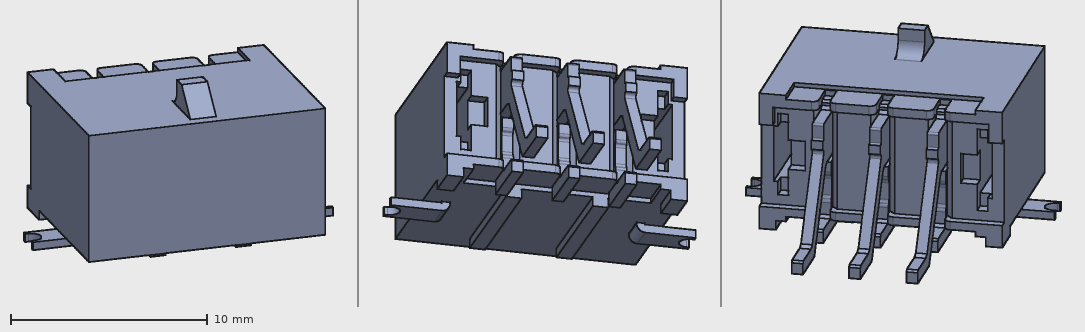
import cadquery as cq
import math


housing_length = 9.89
housing_width = 12.69
housing_top = 7.35
standoff = 0.5

wall_setback = 0.5
ledge_top = 1.2
lip_bottom = 6.65
bracket_bottom = 5.67
bracket_inner_y = 5.64

recess_length = 1.9
recess_half_width = 4.95
top_recess_floor = 7.13
bottom_recess_roof = 0.75

foot_width = 0.87
rail_inner_y = 1.88
rail_end_x = 8.87

pin_pitch = 3.0
pin_y_positions = [-pin_pitch, 0, pin_pitch]
pin_width = 0.6
slot_end = 1.77
slot_mouth = 0.32
pin_foot_height = 0.71
pin_tip_chamfer = 0.11

upper_tip_x = -6.02
upper_heel_x = -3.35
upper_arm_angle = 57.0
upper_knee_start = (-4.17, pin_foot_height)
upper_knee_end = (-3.86, 0.84)
upper_bottom = 4.09
upper_elbow_radius = 0.55
upper_back_x = -1.2
upper_top = 6.42
upper_corner_radius = 0.11
nub_depth = 0.21
nub_fillet = 0.08
nub_top = 5.57
nub_bottom = 5.07
neck_middle = (-1.24, 4.97)
neck_end = (-1.22, 4.8)
barb_start_x = 0.8
barb_bevel = 0.18
barb_step = 0.15
barb_top_bevel = 0.13
barb_end_x = 1.66

lower_tip_x = -1.37
lower_back_x = 0.48
lower_top = 3.74
lower_bend_bevel = 0.16
lower_notch_depth = 0.13
lower_notch_bottom = 1.63
lower_notch_top = 3.1
lower_notch_slope = 0.2
lower_notch_blend = 0.32

clip_thickness = 0.43
clip_leg_y = 4.93
clip_start_x = 4.52
clip_width = 1.51
clip_top = 5.45
clip_bend_radius = 0.43
tab_end_y = 8.05
tab_notch_radius = 0.52
tab_notch_inset = 0.153

clip_slot_bottom = 1.74
clip_slot_top = 6.15
clip_slot_outer_y = 5.47
clip_middle_bottom = 2.45
clip_middle_outer_y = 5.7
clip_pocket_bottom = 3.15
clip_pocket_top = 4.75
clip_pocket_inner_y = 4.05
clip_slot_end = 1.18

latch_width = 1.38
latch_top = 8.76
latch_back_x = 7.1
latch_fillet = 0.77
latch_crest_end_x = 7.85

housing_half_width = housing_width / 2
clip_leg_outer_y = clip_leg_y + clip_thickness
clip_end_x = clip_start_x + clip_width


def block(x_range, y_range, z_range):
    """Box between the given limits on each axis."""
    sizes = [high - low for low, high in (x_range, y_range, z_range)]
    corner = (x_range[0], y_range[0], z_range[0])
    return cq.Workplane("XY").box(*sizes, centered=False).translate(corner)


def mirrored_pair(shape):
    """The shape and its mirror image across the middle plane, as one workplane."""
    return shape.union(shape.mirror("XZ"))


def extrude_across(profile, width):
    """Closed XZ profile extruded along Y, centred on the middle plane."""
    return profile.extrude(width / 2, both=True)


def housing_shell():
    """Main block with its set-back rear wall and the two recesses."""
    body = block(
        (0, housing_length),
        (-housing_half_width, housing_half_width),
        (standoff, housing_top),
    )
    wall_gap = block(
        (0, wall_setback),
        (-housing_half_width, housing_half_width),
        (ledge_top, bracket_bottom),
    )
    lip_gap = block(
        (0, wall_setback),
        (-bracket_inner_y, bracket_inner_y),
        (bracket_bottom, lip_bottom),
    )
    recess_y = (-recess_half_width, recess_half_width)
    top_recess = block((0, recess_length), recess_y, (top_recess_floor, housing_top))
    bottom_recess = block((0, recess_length), recess_y, (standoff, bottom_recess_roof))
    return body.cut(wall_gap).cut(lip_gap).cut(top_recess).cut(bottom_recess)


def feet():
    """Corner feet and standoff rails that carry the housing on the board."""
    foot = block(
        (0, recess_length),
        (housing_half_width - foot_width, housing_half_width),
        (0, standoff),
    )
    rail = block(
        (recess_length, rail_end_x),
        (rail_inner_y, pin_pitch - pin_width / 2),
        (0, standoff),
    )
    return mirrored_pair(foot.union(rail))


def pin_slot(y_middle):
    """Slot for one upper and one lower pin, with rounded and bevelled mouths."""
    half = pin_width / 2
    mouth_half = half + slot_mouth
    bevel_end_x = wall_setback + slot_mouth
    sag = slot_mouth * (1 - math.sqrt(0.5))
    rounded = (
        cq.Workplane("XY")
        .moveTo(0, mouth_half)
        .threePointArc((sag, half + sag), (slot_mouth, half))
        .lineTo(slot_end, half)
        .lineTo(slot_end, -half)
        .lineTo(slot_mouth, -half)
        .threePointArc((sag, -half - sag), (0, -mouth_half))
        .close()
        .extrude(housing_top)
    )
    bevelled = (
        cq.Workplane("XY")
        .workplane(offset=ledge_top)
        .polyline([
            (wall_setback, mouth_half),
            (bevel_end_x, half),
            (bevel_end_x, -half),
            (wall_setback, -mouth_half),
        ])
        .close()
        .extrude(lip_bottom - ledge_top)
    )
    return rounded.union(bevelled).translate((0, y_middle, 0))


def clip_openings():
    """Rear openings that lead to the clip legs, on both sides."""
    slot = block(
        (wall_setback, clip_slot_end),
        (clip_leg_y, clip_slot_outer_y),
        (clip_slot_bottom, clip_slot_top),
    )
    middle = block(
        (wall_setback, clip_start_x),
        (clip_leg_y, clip_middle_outer_y),
        (clip_middle_bottom, clip_top),
    )
    pocket = block(
        (wall_setback, clip_slot_end),
        (clip_pocket_inner_y, clip_leg_y),
        (clip_pocket_bottom, clip_pocket_top),
    )
    return mirrored_pair(slot.union(middle).union(pocket))


def clip_leg_sockets():
    """Sockets that hold the upright clip legs, open at the housing floor."""
    socket = block(
        (clip_start_x, clip_end_x),
        (clip_leg_y, clip_leg_outer_y),
        (standoff, clip_top),
    )
    return mirrored_pair(socket)


def latch():
    """Ramp with a concave back and a 45 degree front."""
    height = latch_top - housing_top
    sag = latch_fillet * (1 - math.sqrt(0.5))
    profile = (
        cq.Workplane("XZ")
        .moveTo(latch_back_x - latch_fillet, housing_top)
        .threePointArc(
            (latch_back_x - sag, housing_top + sag),
            (latch_back_x, housing_top + latch_fillet),
        )
        .lineTo(latch_back_x, latch_top)
        .lineTo(latch_crest_end_x, latch_top)
        .lineTo(latch_crest_end_x + height, housing_top)
        .close()
    )
    return extrude_across(profile, latch_width)


def make_housing():
    housing = housing_shell().union(feet()).union(latch())
    for y_middle in pin_y_positions:
        housing = housing.cut(pin_slot(y_middle))
    return housing.cut(clip_openings()).cut(clip_leg_sockets())


def make_upper_pin(y_middle):
    """Pin with a sloping arm down to its board foot and a barb at the slot end."""
    elbow_x = upper_heel_x + upper_bottom / math.tan(math.radians(upper_arm_angle))
    nub_x = upper_back_x - nub_depth
    barb_x = barb_start_x + barb_bevel
    barb_edge = upper_top + barb_bevel + barb_step
    barb_top = barb_edge + barb_top_bevel
    profile = (
        cq.Workplane("XZ")
        .moveTo(upper_tip_x, 0)
        .lineTo(upper_heel_x, 0)
        .lineTo(elbow_x, upper_bottom)
        .lineTo(slot_end, upper_bottom)
        .lineTo(slot_end, upper_top)
        .lineTo(barb_end_x, upper_top)
        .lineTo(barb_end_x, barb_top)
        .lineTo(barb_x + barb_top_bevel, barb_top)
        .lineTo(barb_x, barb_edge)
        .lineTo(barb_x, upper_top + barb_bevel)
        .lineTo(barb_start_x, upper_top)
        .lineTo(upper_back_x, upper_top)
        .lineTo(upper_back_x, nub_top)
        .lineTo(nub_x, nub_top)
        .lineTo(nub_x, nub_bottom)
        .threePointArc(neck_middle, neck_end)
        .lineTo(*upper_knee_end)
        .lineTo(*upper_knee_start)
        .lineTo(upper_tip_x + pin_tip_chamfer, pin_foot_height)
        .lineTo(upper_tip_x, pin_foot_height - pin_tip_chamfer)
        .close()
    )
    pin = extrude_across(profile, pin_width)
    elbow = cq.selectors.NearestToPointSelector((elbow_x, 0, upper_bottom))
    top_corner = cq.selectors.NearestToPointSelector((upper_back_x, 0, upper_top))
    nub_corner = cq.selectors.NearestToPointSelector((upper_back_x, 0, nub_top))
    pin = pin.edges(elbow).fillet(upper_elbow_radius)
    pin = pin.edges(top_corner).fillet(upper_corner_radius)
    pin = pin.edges(nub_corner).fillet(nub_fillet)
    return pin.translate((0, y_middle, 0))


def make_lower_pin(y_middle):
    """L-shaped pin: a board foot and a notched upright inside the slot."""
    notch_x = lower_back_x + lower_notch_depth
    notch_roof = lower_notch_top - lower_notch_slope
    notch_floor = lower_notch_bottom + lower_notch_slope
    profile = (
        cq.Workplane("XZ")
        .moveTo(lower_tip_x, 0)
        .lineTo(slot_end, 0)
        .lineTo(slot_end, lower_top)
        .lineTo(lower_back_x, lower_top)
        .lineTo(lower_back_x, lower_notch_top)
        .lineTo(notch_x, notch_roof)
        .lineTo(notch_x, notch_floor)
        .lineTo(lower_back_x, lower_notch_bottom)
        .lineTo(lower_back_x, pin_foot_height + lower_bend_bevel)
        .lineTo(lower_back_x - lower_bend_bevel, pin_foot_height)
        .lineTo(lower_tip_x + pin_tip_chamfer, pin_foot_height)
        .lineTo(lower_tip_x, pin_foot_height - pin_tip_chamfer)
        .close()
    )
    pin = extrude_across(profile, pin_width)
    for x, z in (
        (lower_back_x, lower_notch_top),
        (notch_x, notch_roof),
        (notch_x, notch_floor),
        (lower_back_x, lower_notch_bottom),
    ):
        slope_edge = cq.selectors.NearestToPointSelector((x, 0, z))
        pin = pin.edges(slope_edge).fillet(lower_notch_blend)
    return pin.translate((0, y_middle, 0))


def make_clip():
    """Clip on the +Y side: upright leg, bend and notched board tab."""
    leg = block(
        (clip_start_x, clip_end_x),
        (clip_leg_y, clip_leg_outer_y),
        (0, clip_top),
    )
    tab = block(
        (clip_start_x, clip_end_x),
        (clip_leg_outer_y, tab_end_y),
        (0, clip_thickness),
    )
    notch_centre = (clip_start_x + clip_width / 2, tab_end_y - tab_notch_inset)
    notch_circle = (
        cq.Workplane("XY")
        .center(*notch_centre)
        .circle(tab_notch_radius)
        .extrude(clip_thickness)
    )
    notch_mouth = block(
        (notch_centre[0] - tab_notch_radius, notch_centre[0] + tab_notch_radius),
        (notch_centre[1], tab_end_y),
        (0, clip_thickness),
    )
    clip = leg.union(tab).edges("|X and <Y and <Z").fillet(clip_bend_radius)
    return clip.cut(notch_circle).cut(notch_mouth)


housing = make_housing()
upper_pins = [make_upper_pin(y_middle) for y_middle in pin_y_positions]
lower_pins = [make_lower_pin(y_middle) for y_middle in pin_y_positions]
clips = [make_clip(), make_clip().mirror("XZ")]

result = cq.Compound.makeCompound([
    housing.val(),
    *[pin.val() for pin in upper_pins],
    *[pin.val() for pin in lower_pins],
    *[clip.val() for clip in clips],
])